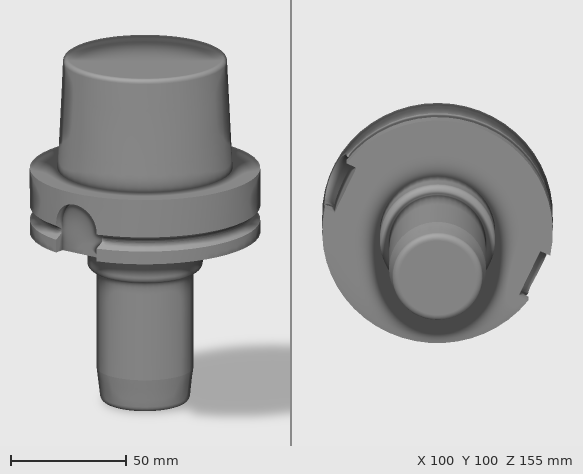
import cadquery as cq

total_height = 155.0
flange_top = 105.0
flange_bottom = 76.0
collar_bottom = 59.5
tip_taper_start = 15.0

flange_radius = 100.0 / 2
collar_radius = 50.0 / 2
shank_radius = 42.0 / 2
tip_radius = 19.2
cone_base_radius = 38.0
cone_top_radius = 35.5

cone_rounding = 2.0
collar_rounding = 3.1
neck_rounding = 0.8
tip_rounding = 2.8

groove_top = 88.0
groove_bottom = 81.7
groove_depth = 3.9
groove_side_height = 2.2
groove_root_rounding = 1.1

slot_width = 22.2
slot_top = 99.8
slot_floor_distance = 44.0


def make_cone():
    """Tapered head with a rounded top edge."""
    cone = (
        cq.Workplane("XZ")
        .moveTo(0, flange_top)
        .lineTo(cone_base_radius, flange_top)
        .lineTo(cone_top_radius, total_height)
        .lineTo(0, total_height)
        .close()
        .revolve(360, (0, 0), (0, 1))
    )
    return cone.faces(">Z").edges().fillet(cone_rounding)


def make_flange():
    """Flange disc with a groove of trapezoidal section and rounded root corners."""
    groove_radius = flange_radius - groove_depth
    flange = (
        cq.Workplane("XZ")
        .moveTo(0, flange_bottom)
        .lineTo(flange_radius, flange_bottom)
        .lineTo(flange_radius, groove_bottom)
        .lineTo(groove_radius, groove_bottom + groove_side_height)
        .lineTo(groove_radius, groove_top - groove_side_height)
        .lineTo(flange_radius, groove_top)
        .lineTo(flange_radius, flange_top)
        .lineTo(0, flange_top)
        .close()
        .revolve(360, (0, 0), (0, 1))
    )
    groove_root_edges = flange.edges(cq.selectors.RadiusNthSelector(0))
    return groove_root_edges.fillet(groove_root_rounding)


def make_slot_cutter():
    """Round-topped slot, open at the flange underside, on the -Y side."""
    half_width = slot_width / 2
    arc_start = slot_top - half_width
    return (
        cq.Workplane("XZ", origin=(0, -slot_floor_distance, 0))
        .moveTo(-half_width, flange_bottom)
        .lineTo(half_width, flange_bottom)
        .lineTo(half_width, arc_start)
        .threePointArc((0, slot_top), (-half_width, arc_start))
        .close()
        .extrude(flange_radius - slot_floor_distance)
    )


def make_collar():
    """Short collar under the flange with a rounded lower edge."""
    collar = (
        cq.Workplane("XY", origin=(0, 0, collar_bottom))
        .circle(collar_radius)
        .extrude(flange_bottom - collar_bottom)
    )
    return collar.faces("<Z").edges().fillet(collar_rounding)


def make_shank():
    """Cylindrical shank with a tapered, rounded tip."""
    shank = (
        cq.Workplane("XZ")
        .lineTo(tip_radius, 0)
        .lineTo(shank_radius, tip_taper_start)
        .lineTo(shank_radius, collar_bottom)
        .lineTo(0, collar_bottom)
        .close()
        .revolve(360, (0, 0), (0, 1))
    )
    return shank.faces("<Z").edges().fillet(tip_rounding)


def make_neck_rounding():
    """Flared disc that blends the shank into the underside of the collar."""
    blend_bottom = collar_bottom - neck_rounding
    outer_radius = shank_radius + neck_rounding
    return (
        cq.Workplane("XZ")
        .moveTo(0, blend_bottom)
        .lineTo(shank_radius, blend_bottom)
        .radiusArc((outer_radius, collar_bottom), neck_rounding)
        .lineTo(0, collar_bottom)
        .close()
        .revolve(360, (0, 0), (0, 1))
    )


flange = make_flange()
slot_cutter = make_slot_cutter()
for angle in (0, 180):
    flange = flange.cut(slot_cutter.rotate((0, 0, 0), (0, 0, 1), angle))

result = (
    flange
    .union(make_cone())
    .union(make_collar())
    .union(make_neck_rounding())
    .union(make_shank())
)